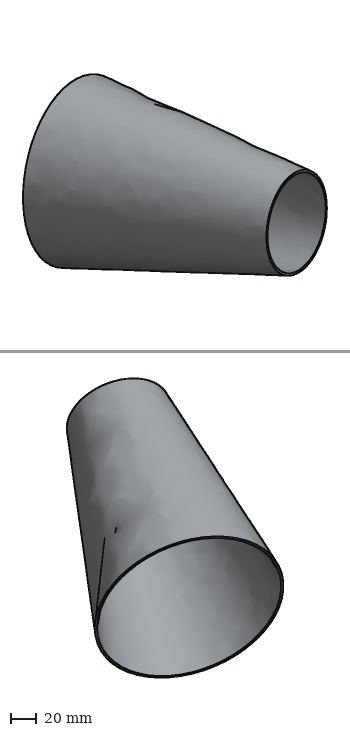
import cadquery as cq

length = 210.0
large_diameter = 153.7
small_diameter = 84.0
wall = 2.0
small_end_shift = -6.7


def tapered_body(inset):
    """Loft between the two end circles, each drawn in by the inset."""
    return (
        cq.Workplane("YZ")
        .circle(large_diameter / 2 - inset)
        .workplane(offset=length)
        .center(small_end_shift, 0)
        .circle(small_diameter / 2 - inset)
        .loft(ruled=True)
    )


outer_cone = tapered_body(0)
bore = tapered_body(wall)
result = outer_cone.cut(bore)